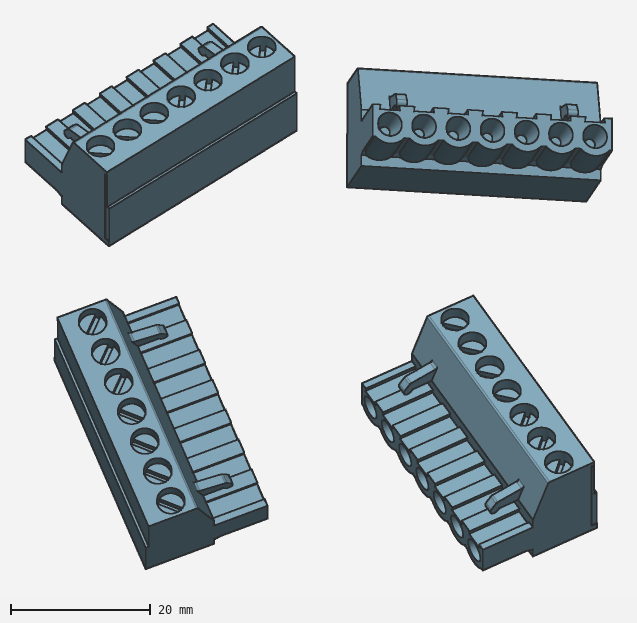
import cadquery as cq
import math

length = 18.85
pitch = 5.0
pole_count = 7
width = pitch * pole_count
height = 15.5

body_front = 8.25
slope_start_z = 8.45
slope_angle = 20.0
back_step_depth = 0.45
back_step_z = 8.0
top_edge_radius = 0.3

plug_top = 6.75
socket_z = 3.9
socket_shell_radius = 2.9
web_bottom = 1.95
web_ramp_start = 7.15
web_ramp_drop = 0.35

groove_depth = 0.7
groove_top_width = 2.75
groove_bottom_width = 2.95

socket_mouth_diameter = 3.5
socket_end_diameter = 1.6
socket_depth = 4.0

screw_x = 13.95
screw_diameter = 4.0
screw_recess = 2.0
slot_width = 0.8
slot_depth = 1.0
slot_angle = 45.0
upper_slot_count = 4

latch_y = 12.5
latch_width = 1.5
latch_tip_x = 4.3
latch_tip_z = 8.52
latch_tip_radius = 0.65
latch_ramp_angle = 51.0
latch_knee = (4.7, 10.0)
latch_root = (8.85, 10.7)
latch_knee_radius = 0.5
latch_root_radius = 0.5
latch_overlap = 1.0

recess_x = 17.9
recess_bottom = 1.0
recess_top = 14.65
recess_depth = 0.1

pole_positions = [(i - (pole_count - 1) / 2) * pitch for i in range(pole_count)]


def slope_x(z):
    """X of the sloped front face of the body at height z."""
    return body_front + (z - slope_start_z) * math.tan(math.radians(slope_angle))


def extrude_side_profile(profile, thickness, center_y=0.0):
    """Extrude an XZ profile symmetrically about center_y."""
    return profile.extrude(thickness / 2, both=True).translate((0, center_y, 0))


def make_body():
    upper_back = length - back_step_depth
    profile = (
        cq.Workplane("XZ")
        .moveTo(body_front, 0)
        .lineTo(length, 0)
        .lineTo(length, back_step_z)
        .lineTo(upper_back, back_step_z)
        .lineTo(upper_back, height)
        .lineTo(slope_x(height), height)
        .lineTo(body_front, slope_start_z)
        .close()
    )
    body = extrude_side_profile(profile, width)
    top_front_edge = cq.selectors.NearestToPointSelector((slope_x(height), 0, height))
    return body.edges(top_front_edge).fillet(top_edge_radius)


def make_plug():
    web = (
        cq.Workplane("XZ")
        .moveTo(0, web_bottom)
        .lineTo(web_ramp_start, web_bottom)
        .lineTo(body_front, web_bottom - web_ramp_drop)
        .lineTo(body_front, plug_top)
        .lineTo(0, plug_top)
        .close()
    )
    plug = extrude_side_profile(web, width)
    envelope = cq.Workplane("XY").box(body_front, width, plug_top, centered=(False, True, False))
    for y in pole_positions:
        shell = cq.Workplane("YZ").center(y, socket_z).circle(socket_shell_radius).extrude(body_front)
        plug = plug.union(shell.intersect(envelope))
    return plug


def make_groove(y):
    floor_z = plug_top - groove_depth
    return (
        cq.Workplane("YZ")
        .moveTo(y - groove_top_width / 2, plug_top)
        .lineTo(y - groove_bottom_width / 2, floor_z)
        .lineTo(y + groove_bottom_width / 2, floor_z)
        .lineTo(y + groove_top_width / 2, plug_top)
        .close()
        .extrude(body_front)
    )


def make_socket(y):
    cone = cq.Solid.makeCone(
        socket_mouth_diameter / 2,
        socket_end_diameter / 2,
        socket_depth,
        pnt=cq.Vector(0, y, socket_z),
        dir=cq.Vector(1, 0, 0),
    )
    return cq.Workplane(obj=cone)


def make_screw_recess(y, angle):
    """Screw shaft opening down to the head, plus the driver slot in the head."""
    head_z = height - screw_recess
    shaft = cq.Workplane("XY").workplane(offset=head_z).circle(screw_diameter / 2).extrude(screw_recess)
    slot = (
        cq.Workplane("XY")
        .workplane(offset=head_z - slot_depth)
        .rect(screw_diameter, slot_width)
        .extrude(slot_depth)
        .rotate((0, 0, 0), (0, 0, 1), angle)
    )
    head = cq.Workplane("XY").workplane(offset=head_z - slot_depth).circle(screw_diameter / 2).extrude(slot_depth)
    return shaft.union(slot.intersect(head)).translate((screw_x, y, 0))


def make_latch(y):
    def tip_point(angle):
        a = math.radians(angle)
        return (
            latch_tip_x + latch_tip_radius * math.cos(a),
            latch_tip_z + latch_tip_radius * math.sin(a),
        )

    upper_tangent = 90 + latch_ramp_angle
    lower_tangent = 315
    lower_x, lower_z = tip_point(lower_tangent)
    inside_x = slope_x(latch_root[1]) + latch_overlap
    top_slope = (latch_root[1] - latch_knee[1]) / (latch_root[0] - latch_knee[0])
    inside_z = latch_root[1] + top_slope * (inside_x - latch_root[0])
    profile = (
        cq.Workplane("XZ")
        .moveTo(inside_x, inside_z)
        .lineTo(*latch_knee)
        .lineTo(*tip_point(upper_tangent))
        .threePointArc(tip_point((upper_tangent + lower_tangent) / 2), (lower_x, lower_z))
        .lineTo(lower_x + slope_start_z - lower_z, slope_start_z)
        .lineTo(inside_x, slope_start_z)
        .close()
    )
    latch = extrude_side_profile(profile, latch_width, y)
    knee_edge = cq.selectors.NearestToPointSelector((latch_knee[0], y, latch_knee[1]))
    return latch.edges(knee_edge).fillet(latch_knee_radius)


def round_latch_root(part, y):
    edge = cq.selectors.NearestToPointSelector((slope_x(latch_root[1]), y, latch_root[1]))
    return part.edges(edge).fillet(latch_root_radius)


def make_end_recess():
    """Shallow pocket in the -Y end face with a slanted front wall."""
    end_y = -width / 2
    return (
        cq.Workplane("XY")
        .workplane(offset=recess_bottom)
        .moveTo(recess_x, end_y)
        .lineTo(recess_x + recess_depth, end_y + recess_depth)
        .lineTo(length, end_y + recess_depth)
        .lineTo(length, end_y)
        .close()
        .extrude(recess_top - recess_bottom)
    )


result = make_body().union(make_plug())
for latch_side in (-1, 1):
    result = result.union(make_latch(latch_side * latch_y))
    result = round_latch_root(result, latch_side * latch_y)

for index, pole_y in enumerate(pole_positions):
    turned = index >= pole_count - upper_slot_count
    screw_angle = -slot_angle if turned else slot_angle
    result = result.cut(make_groove(pole_y))
    result = result.cut(make_socket(pole_y))
    result = result.cut(make_screw_recess(pole_y, screw_angle))

result = result.cut(make_end_recess())